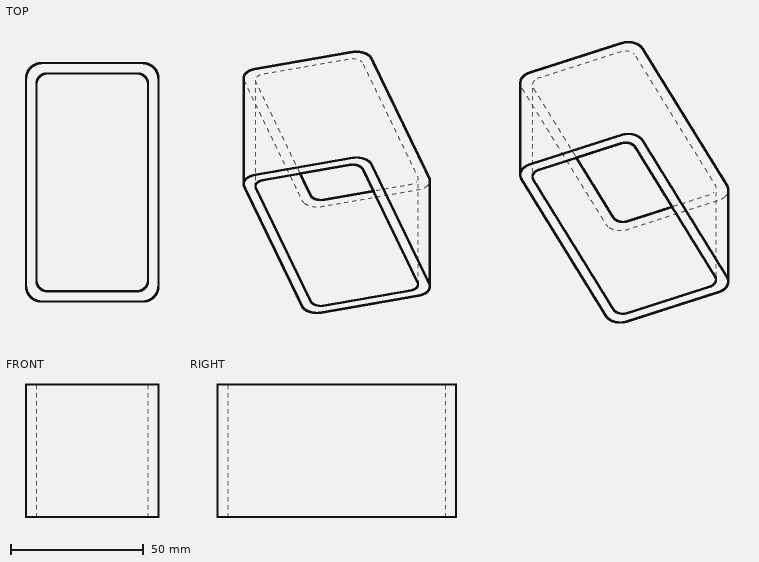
import cadquery as cq

width = 50.0
length = 90.0
height = 50.0

wall = 4.0
outer_corner_radius = 6.0
inner_corner_radius = 4.0


def rounded_block(size_x, size_y, corner_radius):
    """Full-height block centred on the Z axis, with rounded vertical edges."""
    block = cq.Workplane("XY").rect(size_x, size_y).extrude(height)
    return block.edges("|Z").fillet(corner_radius)


outer_body = rounded_block(width, length, outer_corner_radius)
through_opening = rounded_block(width - 2 * wall, length - 2 * wall, inner_corner_radius)

result = outer_body.cut(through_opening)